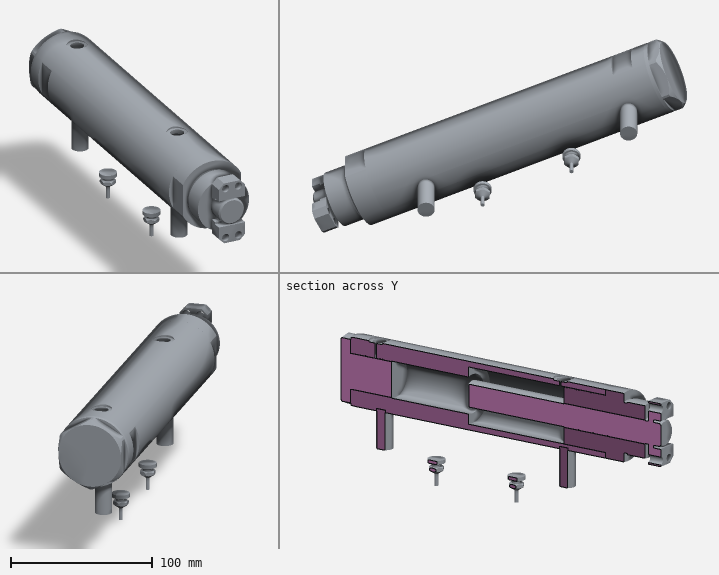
import cadquery as cq

total_length = 276.5
barrel_radius = 26.0
across_flats = 46.0

cap_length = 8.5
cap_chamfer = barrel_radius - across_flats / 2
spigot_radius = 14.5
spigot_end = 44.2

barrel_end = 228.7
barrel_chamfer_length = 2.5
barrel_chamfer_depth = 0.3
barrel_flat_start = 21.0
barrel_flat_end = 36.2
chamber_start = 110.5
chamber_radius = 21.5

port_positions = (30.5, 189.5)
port_radius = 5.0
spotface_radius = 7.5
spotface_height = 24.5

post_positions = (34.8, 192.5)
post_radius = 6.0
post_top = -23.8
post_bottom = -53.5

gland_spigot_start = 192.7
gland_end = 244.7
neck_radius = 19.4
collar_start = 247.0
collar_end = 263.0
collar_radius = 20.2
collar_chamfer = collar_radius - neck_radius

rod_radius = 10.0
rod_chamfer = 1.0
crossbar_start = 265.5
crossbar_width = 20.7
crossbar_height = 46.7
crossbar_chamfer = 4.1
slot_height = 17.1
wide_slot_start = 270.1
wide_slot_height = 20.5
screw_hole_radius = 2.8
screw_hole_spacing_y = 10.0
screw_hole_spacing_z = 38.2

stem_positions = (79.4, 148.5)
stem_top = post_bottom
stem_head_radius = 6.4
stem_head_bottom = -56.0
stem_cone_radius = 5.0
stem_neck_radius = 3.3
stem_neck_top = -57.5
stem_hex_top = -59.0
stem_hex_bottom = -62.0
stem_hex_corner_radius = 5.8
stem_hex_chamfer = 0.8
stem_pin_top = -64.5
stem_pin_radius = 1.5
stem_bottom = -73.3


def rod_x(radius, start, end):
    """Cylinder along the X axis between two X positions."""
    return cq.Workplane("YZ", origin=(start, 0, 0)).circle(radius).extrude(end - start)


def rod_z(x, radius, bottom, top):
    """Vertical cylinder at a given X between two heights."""
    return cq.Workplane("XY", origin=(x, 0, bottom)).circle(radius).extrude(top - bottom)


def box_x(start, end, width, height):
    """Box centred on the X axis between two X positions."""
    return cq.Workplane("YZ", origin=(start, 0, 0)).rect(width, height).extrude(end - start)


def make_cap():
    """Hexagonal cap with turned corners and a spigot that plugs the barrel's small bore."""
    hexagon = (
        cq.Workplane("YZ")
        .polygon(6, across_flats, circumscribed=True)
        .extrude(cap_length)
    )
    turned = rod_x(barrel_radius, 0, cap_length).faces("<X").chamfer(cap_chamfer)
    return hexagon.intersect(turned).union(rod_x(spigot_radius, cap_length, spigot_end))


def make_barrel():
    """Bored tube with wrench flats, two top ports and two bottom post sockets."""
    barrel = (
        rod_x(barrel_radius, cap_length, barrel_end)
        .faces("<X")
        .chamfer(barrel_chamfer_length, barrel_chamfer_depth)
    )
    diameter = 2 * barrel_radius
    flat_band = box_x(barrel_flat_start, barrel_flat_end, diameter, diameter)
    barrel = barrel.cut(
        flat_band.cut(box_x(barrel_flat_start, barrel_flat_end, across_flats, diameter))
    )
    barrel = barrel.cut(rod_x(spigot_radius, cap_length, chamber_start))
    barrel = barrel.cut(rod_x(chamber_radius, chamber_start, barrel_end))
    for x in port_positions:
        barrel = barrel.cut(rod_z(x, spotface_radius, spotface_height, barrel_radius))
        barrel = barrel.cut(rod_z(x, port_radius, 0, barrel_radius))
    for x in post_positions:
        barrel = barrel.cut(rod_z(x, post_radius, post_bottom, post_top))
    return barrel


def make_gland():
    """End gland: spigot in the chamber, flatted flange, neck and collar around the rod."""
    flange = rod_x(barrel_radius, barrel_end, gland_end)
    flange = flange.intersect(box_x(barrel_end, gland_end, across_flats, 2 * barrel_radius))
    collar = rod_x(collar_radius, collar_start, collar_end).faces("<X").chamfer(collar_chamfer)
    return (
        flange.union(rod_x(chamber_radius, gland_spigot_start, barrel_end))
        .union(rod_x(neck_radius, gland_end, collar_start))
        .union(collar)
        .cut(rod_x(rod_radius, gland_spigot_start, collar_end))
    )


def make_connector():
    """Rod through the gland with a chamfered crossbar, slotted across and drilled in each wing."""
    crossbar = (
        box_x(crossbar_start, total_length, crossbar_width, crossbar_height)
        .edges("|X")
        .chamfer(crossbar_chamfer)
    )
    slot = box_x(crossbar_start, total_length, crossbar_width, slot_height)
    wide_slot = box_x(wide_slot_start, total_length, crossbar_width, wide_slot_height)
    rod = rod_x(rod_radius, chamber_start, total_length).faces(">X").chamfer(rod_chamfer)
    screw_holes = (
        cq.Workplane("YZ", origin=(crossbar_start, 0, 0))
        .rect(screw_hole_spacing_y, screw_hole_spacing_z, forConstruction=True)
        .vertices()
        .circle(screw_hole_radius)
        .extrude(total_length - crossbar_start)
    )
    return crossbar.cut(slot).cut(wide_slot).cut(screw_holes).union(rod)


def make_stem(x):
    """Valve stem: round head, waisted neck, chamfered hexagon and pin."""
    turned = (
        cq.Workplane("XZ", origin=(x, 0, 0))
        .moveTo(0, stem_top)
        .lineTo(stem_head_radius, stem_top)
        .lineTo(stem_head_radius, stem_head_bottom)
        .lineTo(stem_cone_radius, stem_head_bottom)
        .lineTo(stem_neck_radius, stem_neck_top)
        .lineTo(stem_neck_radius, stem_hex_bottom)
        .lineTo(stem_cone_radius, stem_hex_bottom)
        .lineTo(stem_pin_radius, stem_pin_top)
        .lineTo(stem_pin_radius, stem_bottom)
        .lineTo(0, stem_bottom)
        .close()
        .revolve(360, (0, 0), (0, 1))
    )
    hexagon = (
        cq.Workplane("XY", origin=(x, 0, stem_hex_bottom))
        .polygon(6, 2 * stem_hex_corner_radius)
        .extrude(stem_hex_top - stem_hex_bottom)
    )
    rounding = (
        rod_z(x, stem_hex_corner_radius, stem_hex_bottom, stem_hex_top)
        .faces("<Z or >Z")
        .chamfer(stem_hex_chamfer)
    )
    return turned.union(hexagon.intersect(rounding))


cap = make_cap()
barrel = make_barrel()
gland = make_gland()
connector = make_connector()
posts = [rod_z(x, post_radius, post_bottom, post_top) for x in post_positions]
stems = [make_stem(x) for x in stem_positions]

bodies = [cap, barrel, gland, connector, *posts, *stems]
result = cq.Compound.makeCompound([body.solids().val() for body in bodies])